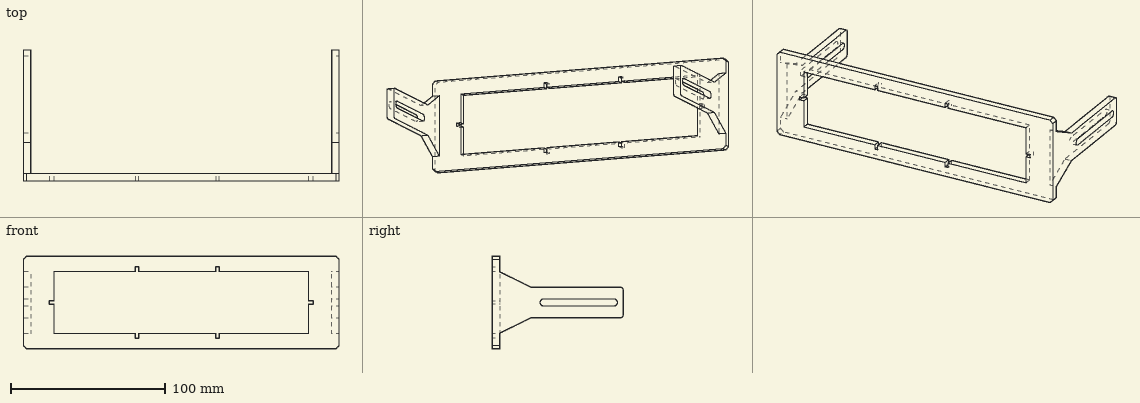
import cadquery as cq

plate_length = 205.0
plate_height = 60.0
thickness = 5.0
plate_corner = 2.0

window_length = 165.0
window_height = 40.0
notch_width = 2.0
notch_depth = 3.0
edge_notch_positions = (-28.7, 23.5)

total_depth = 85.0
arm_height = 20.0
flare_height = 40.0
flare_length = 20.0
arm_corner_radius = 2.0

slot_length = 50.0
slot_width = 4.5
slot_tip_margin = 3.9


def make_plate():
    """Flat plate with bevelled corners."""
    return (
        cq.Workplane("XY")
        .box(plate_length, thickness, plate_height)
        .translate((0, thickness / 2, 0))
        .edges("|Y")
        .chamfer(plate_corner)
    )


def make_window():
    """Cutter for the window and the notches on all four of its edges."""
    end_notches_span = window_length + 2 * notch_depth
    edge_notches_span = window_height + 2 * notch_depth
    cutter = cq.Workplane("XY").box(window_length, 2 * thickness, window_height)
    cutter = cutter.union(cq.Workplane("XY").box(end_notches_span, 2 * thickness, notch_width))
    for x in edge_notch_positions:
        notch_pair = cq.Workplane("XY").box(notch_width, 2 * thickness, edge_notches_span)
        cutter = cutter.union(notch_pair.translate((x, 0, 0)))
    return cutter.translate((0, thickness / 2, 0))


def make_arm(inner_x):
    """Slotted arm, flared where it joins the plate, extending toward +X from inner_x."""
    flare_end = thickness + flare_length
    half_arm = arm_height / 2
    half_flare = flare_height / 2
    slot_center = total_depth - slot_tip_margin - slot_length / 2
    plane = cq.Workplane("YZ", origin=(inner_x, 0, 0))
    arm = (
        plane.moveTo(thickness, -half_flare)
        .lineTo(flare_end, -half_arm)
        .lineTo(total_depth, -half_arm)
        .lineTo(total_depth, half_arm)
        .lineTo(flare_end, half_arm)
        .lineTo(thickness, half_flare)
        .close()
        .extrude(thickness)
        .faces(">Y")
        .edges("|X")
        .fillet(arm_corner_radius)
    )
    slot = plane.center(slot_center, 0).slot2D(slot_length, slot_width).extrude(thickness)
    return arm.cut(slot)


result = make_plate().cut(make_window())
for arm_start in (-plate_length / 2, plate_length / 2 - thickness):
    result = result.union(make_arm(arm_start))